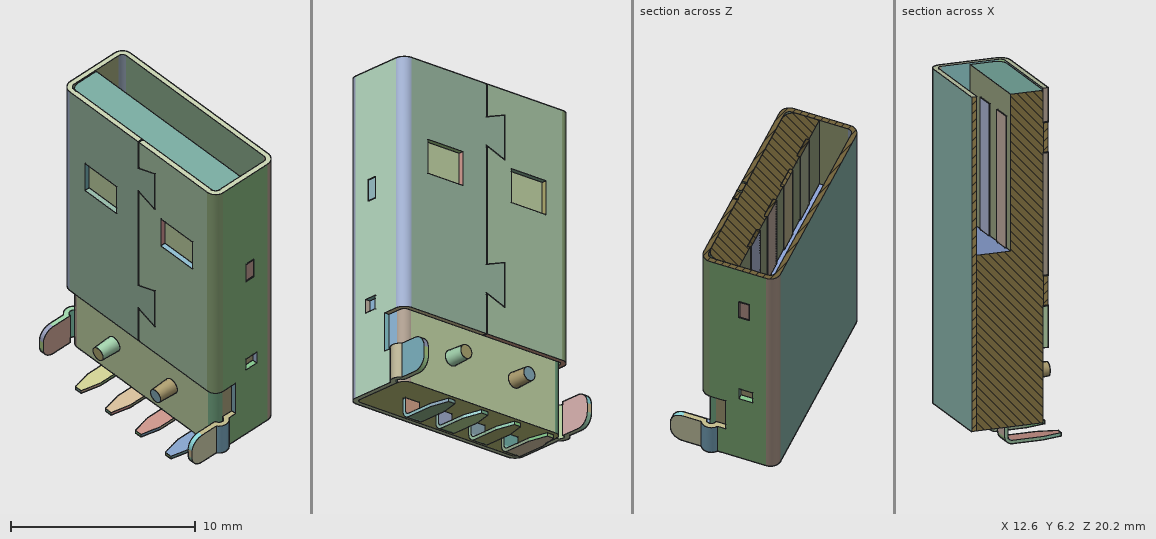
import cadquery as cq
import math


shell_width = 12.08
shell_depth = 4.5
shell_height = 19.0
wall = 0.31
corner_radius = 0.6
front_wall_bottom = 4.25
side_notch_y = -0.72

overall_width = 12.6
tab_height = 2.0
bulge_y = -1.68
tab_tip_y = -3.95
tab_tip_radius = 0.75

seam_x = -0.05
seam_gap = 0.07
dovetail_gap = 0.03
dovetail_length = 1.3
dovetail_root_width = 1.65
dovetail_tip_width = 2.6
dovetail_heights = (7.5, 16.2)

window_width = 2.5
window_height = 2.0
window_spacing = 6.0
window_center_z = 13.5
latch_hole_size = 0.8
latch_hole_y = 0.45
latch_hole_z = 5.15
dent_bottom_z = 11.3
dent_height = 1.25
dent_front_y = 0.03
dent_back_y = 0.65
dent_slope = 0.06
dent_depth = 0.06

insulator_top = shell_height - 0.1
insulator_front_radius = 0.55
tongue_face_y = -0.02
cavity_floor_z = 10.0
peg_base_radius = 0.46
peg_tip_radius = 0.4
peg_tip_y = -3.13
peg_spacing = 4.55
peg_z = 2.27

contact_pitch = 2.37
contact_count = 4
contact_thickness = 0.2
contact_face_y = tongue_face_y + 0.05
blade_width = 1.3
blade_top = 17.5
leg_width = 1.0
tail_bottom_z = -1.2
tail_tip_y = -3.4
tail_taper_y = -2.22
tail_tip_width = 0.45
bend_inner_radius = 0.25

half_width = shell_width / 2
half_depth = shell_depth / 2
inner_half_width = half_width - wall
inner_half_depth = half_depth - wall
inner_corner_radius = corner_radius - wall


def block(x_range, y_range, z_range):
    """Box given by its lower and upper limits along each axis."""
    lows, highs = zip(x_range, y_range, z_range)
    sizes = [high - low for low, high in zip(lows, highs)]
    return cq.Workplane("XY").box(*sizes, centered=False).translate(lows)


def rounded_column(width, depth, height, front_radius, back_radius):
    """Upright column on z = 0 with rounded vertical edges."""
    column = cq.Workplane("XY").rect(width, depth).extrude(height)
    return column.edges("|Z and <Y").fillet(front_radius).edges("|Z and >Y").fillet(back_radius)


def both_sides(solid):
    """The feature of the left side together with its mirror image on the right."""
    return solid.union(solid.mirror("YZ"))


def mounting_tab():
    """Left tab: a half-round bulge of the side wall, then a straight rounded tongue."""
    bulge_radius = overall_width / 2 - inner_half_width
    bore_radius = bulge_radius - wall
    blade = (
        block((-half_width, -inner_half_width), (tab_tip_y, bulge_y), (0, tab_height))
        .edges("|X and <Y").fillet(tab_tip_radius)
    )
    side_wall = block((-half_width, -inner_half_width), (bulge_y, side_notch_y), (0, tab_height))
    bulge = cq.Workplane("XY").center(-inner_half_width, bulge_y).circle(bulge_radius).extrude(tab_height)
    bore = cq.Workplane("XY").center(-inner_half_width, bulge_y).circle(bore_radius).extrude(tab_height)
    inside = block((-inner_half_width, 0), (-half_depth, half_depth), (0, tab_height))
    return blade.union(side_wall).union(bulge).cut(bore).cut(inside)


def dovetail(center_z, clearance):
    """Dovetail through the front wall, grown by the clearance on its flanks and tip."""
    root = dovetail_root_width / 2 + clearance
    tip = dovetail_tip_width / 2 + clearance
    return (
        cq.Workplane("XZ", origin=(seam_x, -inner_half_depth, center_z))
        .polyline([(0, -root), (dovetail_length + clearance, -tip),
                   (dovetail_length + clearance, tip), (0, root)])
        .close().extrude(wall)
    )


def seam():
    """Slit that runs down the front wall and around each dovetail."""
    slit = block((seam_x, seam_x + seam_gap), (-half_depth, -inner_half_depth),
                 (front_wall_bottom, shell_height))
    for center_z in dovetail_heights:
        slit = slit.union(dovetail(center_z, dovetail_gap))
    for center_z in dovetail_heights:
        slit = slit.cut(dovetail(center_z, 0))
    return slit


def windows():
    """Two rectangular openings in the front wall."""
    return (
        cq.Workplane("XZ", origin=(0, -inner_half_depth, window_center_z))
        .rarray(window_spacing, 1, 2, 1).rect(window_width, window_height).extrude(wall)
    )


def latch_hole():
    """Square hole through the left side wall."""
    return (
        cq.Workplane("YZ", origin=(-half_width, latch_hole_y, latch_hole_z))
        .rect(latch_hole_size, latch_hole_size).extrude(wall)
    )


def side_dent():
    """Shallow dent in the outside of the left wall, with a sloped front flank."""
    floor_x = -half_width + dent_depth
    return (
        cq.Workplane("XY", origin=(0, 0, dent_bottom_z))
        .polyline([(-half_width, dent_front_y), (floor_x, dent_front_y + dent_slope),
                   (floor_x, dent_back_y), (-half_width, dent_back_y)])
        .close().extrude(dent_height)
    )


def make_shell():
    tube = rounded_column(shell_width, shell_depth, shell_height, corner_radius, corner_radius)
    bore = rounded_column(2 * inner_half_width, 2 * inner_half_depth, shell_height,
                          inner_corner_radius, inner_corner_radius)
    lower_front = block((-half_width, half_width), (-half_depth, side_notch_y), (0, front_wall_bottom))
    return (
        tube.cut(bore).cut(lower_front)
        .union(both_sides(mounting_tab()))
        .cut(seam()).cut(windows())
        .cut(both_sides(latch_hole())).cut(both_sides(side_dent()))
    )


def make_contact(center_x):
    """Blade on the tongue face, narrower leg, and a bent tail that tapers to its tip."""
    back_y = contact_face_y - contact_thickness
    bend_outer_radius = bend_inner_radius + contact_thickness
    tail_top_z = tail_bottom_z + contact_thickness
    bend_y = contact_face_y - bend_outer_radius
    bend_z = tail_bottom_z + bend_outer_radius
    diagonal = math.sqrt(0.5)
    leg = (
        cq.Workplane("YZ")
        .moveTo(contact_face_y, cavity_floor_z)
        .lineTo(contact_face_y, bend_z)
        .threePointArc((bend_y + bend_outer_radius * diagonal, bend_z - bend_outer_radius * diagonal),
                       (bend_y, tail_bottom_z))
        .lineTo(tail_tip_y, tail_bottom_z)
        .lineTo(tail_tip_y, tail_top_z)
        .lineTo(bend_y, tail_top_z)
        .threePointArc((bend_y + bend_inner_radius * diagonal, bend_z - bend_inner_radius * diagonal),
                       (back_y, bend_z))
        .lineTo(back_y, cavity_floor_z)
        .close().extrude(leg_width / 2, both=True)
    )
    tip_corner = (
        cq.Workplane("XY", origin=(0, 0, tail_bottom_z))
        .polyline([(-leg_width / 2, tail_taper_y), (-tail_tip_width / 2, tail_tip_y),
                   (-leg_width / 2, tail_tip_y)])
        .close().extrude(contact_thickness)
    )
    blade = block((-blade_width / 2, blade_width / 2), (back_y, contact_face_y), (cavity_floor_z, blade_top))
    return leg.cut(both_sides(tip_corner)).union(blade).translate((center_x, 0, 0))


def locating_pegs():
    """Two tapered pegs on the front face."""
    length = -inner_half_depth - peg_tip_y
    taper = math.degrees(math.atan2(peg_base_radius - peg_tip_radius, length))
    return (
        cq.Workplane("XZ", origin=(0, -inner_half_depth, peg_z))
        .rarray(peg_spacing, 1, 2, 1).circle(peg_base_radius).extrude(length, taper=taper)
    )


def make_insulator(contacts):
    body = rounded_column(2 * inner_half_width, 2 * inner_half_depth, insulator_top,
                          insulator_front_radius, inner_corner_radius)
    cavity = block((-inner_half_width, inner_half_width), (tongue_face_y, inner_half_depth),
                   (cavity_floor_z, insulator_top))
    insulator = body.cut(cavity).union(locating_pegs())
    for contact in contacts:
        insulator = insulator.cut(contact)
    return insulator


shell = make_shell()
contacts = [
    make_contact((index - (contact_count - 1) / 2) * contact_pitch)
    for index in range(contact_count)
]
insulator = make_insulator(contacts)

result = cq.Compound.makeCompound(
    [shell.val(), insulator.val(), *[contact.val() for contact in contacts]]
)